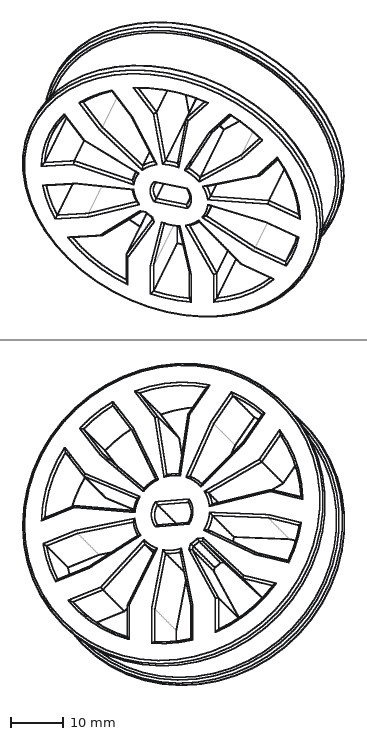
import cadquery as cq
import math

outer_radius = 30.0
width = 16.0
edge_chamfer = 0.5

flange_width = 2.45
channel_depth = 1.0

spoke_pairs = 5
hub_radius = 8.0
rim_inner_radius = 25.6
taper_base_radius = 7.8
bevelled_window = 3

straight_half_width = 3.6
straight_hub_half_width = 1.45
straight_shoulder_radius = 18.85

spoke_width = 5.5
flared_hub_half_width = 1.2
flared_shoulder_half_width = 3.0

bore_radius = 3.65
bore_height = 4.0

pair_angle = 360 / spoke_pairs
half_pair = math.radians(pair_angle / 2)


def cylinder(radius, length):
    return cq.Workplane("XZ").circle(radius).extrude(length / 2, both=True)


def wheel_blank():
    """Solid wheel with two bevelled flanges and a channel between them."""
    channel_width = width - 2 * flange_width
    tread_radius = outer_radius - channel_depth
    bevel_radius = outer_radius - edge_chamfer
    half_channel = channel_width / 2
    channel = (
        cq.Workplane("XY")
        .moveTo(tread_radius, -half_channel)
        .lineTo(bevel_radius, -half_channel)
        .lineTo(outer_radius, -half_channel - edge_chamfer)
        .lineTo(outer_radius, half_channel + edge_chamfer)
        .lineTo(bevel_radius, half_channel)
        .lineTo(tread_radius, half_channel)
        .close()
        .revolve(360, (0, 0, 0), (0, 1, 0))
    )
    return cylinder(outer_radius, width).cut(channel)


def window(right_side, angle):
    """Window through the wheel, mirrored about its radial axis and turned by angle from +Z."""
    left_side = [(-x, z) for x, z in reversed(right_side)]
    prism = cq.Workplane("XZ").polyline(right_side + left_side).close().extrude(width, both=True)
    ring = cylinder(rim_inner_radius, width).cut(cylinder(hub_radius, width))
    return prism.intersect(ring).rotate((0, 0, 0), (0, 1, 0), angle)


def straight_window(angle):
    side = [
        (straight_hub_half_width, taper_base_radius),
        (straight_half_width, straight_shoulder_radius),
        (straight_half_width, outer_radius),
    ]
    return window(side, angle)


def flared_window(angle):
    flank_offset = straight_half_width + spoke_width
    axis_radius = flank_offset / math.sin(half_pair)
    shoulder_radius = axis_radius + flared_shoulder_half_width / math.tan(half_pair)
    flare_end = (outer_radius - axis_radius) * math.tan(half_pair)
    side = [
        (flared_hub_half_width, taper_base_radius),
        (flared_shoulder_half_width, shoulder_radius),
        (flare_end, outer_radius),
    ]
    return window(side, angle)


def bevel_hub_corners(cutter):
    """Bevel the two edges along Y where the window flanks meet the hub."""
    corner_zone = hub_radius + edge_chamfer

    def at_hub(edge):
        centre = edge.Center()
        return math.hypot(centre.x, centre.z) < corner_zone

    corners = [edge for edge in cutter.edges("|Y").vals() if at_hub(edge)]
    return cutter.newObject(corners).chamfer(edge_chamfer)


def shaft_bore():
    flats = cq.Workplane("XY").box(2 * bore_radius, width, bore_height)
    return cylinder(bore_radius, width).intersect(flats)


result = wheel_blank().cut(shaft_bore())
for index in range(spoke_pairs):
    flared_angle = index * pair_angle
    flared = flared_window(flared_angle)
    if index == bevelled_window:
        flared = bevel_hub_corners(flared)
    result = result.cut(flared)
    result = result.cut(straight_window(flared_angle + pair_angle / 2))
result = result.faces("<Y or >Y").edges().chamfer(edge_chamfer)